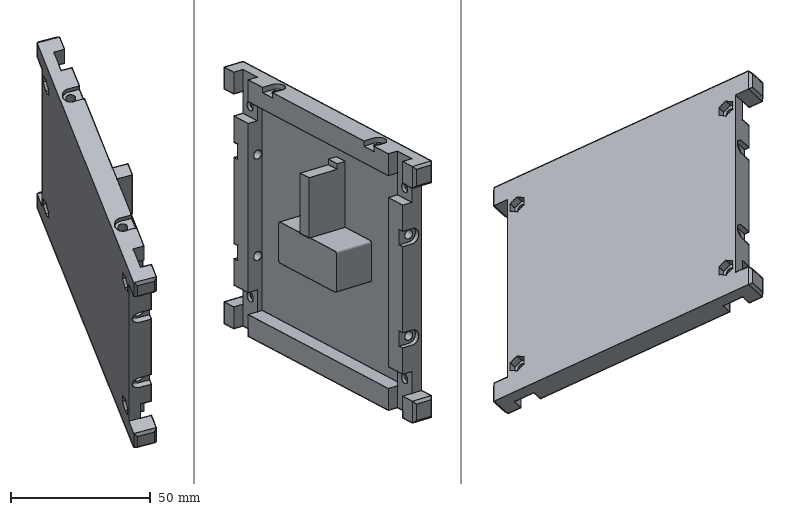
import cadquery as cq
import math

length = 113.5
panel_size = 100.0
total_depth = 18.5
rail = 8.5
skin = 2.3
mid_depth = rail / 2
end_chamfer = 1.0
recess_floor = 4.4

hole_diameter = 3.5
hex_across_flats = 6.0
hex_depth = 3.0
screw_pocket_radius = 3.0
screw_pocket_depth = 2.0
side_hole_spacing = 39.5
top_hole_spacing = 60.0

block_x_min = -23.4
block_width = 34.3
block_height = 16.0
block_top = 18.0
block_fillet = 1.0
connector_x_min = -7.7
connector_width = 5.2
connector_z_max = 31.5
ledge_z_max = 33.7
ledge_top = 5.9

half_panel = panel_size / 2
half_cavity = half_panel - rail
hex_diameter = hex_across_flats / math.cos(math.pi / 6)


def box(x_min, x_max, y_min, y_max, z_min, z_max):
    """Axis-aligned box between the given limits."""
    size = (x_max - x_min, y_max - y_min, z_max - z_min)
    return cq.Workplane("XY").box(*size, centered=False).translate((x_min, y_min, z_min))


def centred_box(width, y_min, y_max, height):
    """Box centred on the Y axis."""
    return box(-width / 2, width / 2, y_min, y_max, -height / 2, height / 2)


def make_rail(side):
    """Square rail along X with chamfered ends, at the top (side = 1) or bottom (side = -1)."""
    bar = cq.Workplane("XY").box(length, rail, rail).faces("<X or >X").chamfer(end_chamfer)
    return bar.translate((0, mid_depth, side * (half_panel - mid_depth)))


def make_frame():
    """Open tray: sheet, side walls and the two rails."""
    tray = centred_box(panel_size, 0, rail, panel_size)
    tray = tray.cut(centred_box(2 * half_cavity, skin, rail, 2 * half_cavity))
    return tray.union(make_rail(1)).union(make_rail(-1))


def corner_recess(x_side, z_side):
    """Recess across the rail and the end of the side wall."""
    recess = box(half_cavity, half_panel, recess_floor, rail, half_cavity - rail, half_panel)
    if x_side < 0:
        recess = recess.mirror("YZ")
    if z_side < 0:
        recess = recess.mirror("XY")
    return recess


def corner_fastener(x_side, z_side):
    """Through hole along Y with a hexagonal nut pocket in the outer face."""
    x = x_side * (half_panel - rail / 2)
    z = z_side * (half_cavity - rail / 2)
    hole = cq.Workplane("XZ").circle(hole_diameter / 2).extrude(-rail)
    hex_plane = cq.Workplane("XZ").transformed(rotate=(0, 0, 90))
    nut = hex_plane.polygon(6, hex_diameter).extrude(-hex_depth)
    return hole.union(nut).translate((x, 0, z))


def wall_fastener():
    """Screw hole entering a wall along +X at X = 0, with a U-shaped head pocket open toward +Y."""
    plane = cq.Workplane("YZ").center(mid_depth, 0)
    hole = plane.circle(hole_diameter / 2).extrude(rail)
    head = plane.circle(screw_pocket_radius).extrude(screw_pocket_depth)
    mouth = box(0, screw_pocket_depth, mid_depth, rail, -screw_pocket_radius, screw_pocket_radius)
    return hole.union(head).union(mouth)


def make_block():
    """Rectangular block with rounded upright edges."""
    block = centred_box(block_width, 0, block_top, block_height)
    block = block.translate((block_x_min + block_width / 2, 0, 0))
    return block.edges("|Y").fillet(block_fillet)


def make_connector():
    """Tall bar beside the block, with a low ledge at its foot."""
    x_max = connector_x_min + connector_width
    block_edge = block_height / 2
    bar = box(connector_x_min, x_max, 0, total_depth, block_edge, connector_z_max)
    ledge = box(connector_x_min, x_max, 0, ledge_top, block_edge, ledge_z_max)
    return bar.union(ledge)


result = make_frame()

for x_side in (-1, 1):
    for z_side in (-1, 1):
        result = result.cut(corner_recess(x_side, z_side))
        result = result.cut(corner_fastener(x_side, z_side))

left_fastener = wall_fastener().translate((-half_panel, 0, 0))
right_fastener = left_fastener.mirror("YZ")
top_fastener = wall_fastener().rotate((0, 0, 0), (0, 1, 0), 90).translate((0, 0, half_panel))
for side in (-1, 1):
    side_shift = (0, 0, side * side_hole_spacing / 2)
    result = result.cut(left_fastener.translate(side_shift))
    result = result.cut(right_fastener.translate(side_shift))
    result = result.cut(top_fastener.translate((side * top_hole_spacing / 2, 0, 0)))

result = result.union(make_block()).union(make_connector())